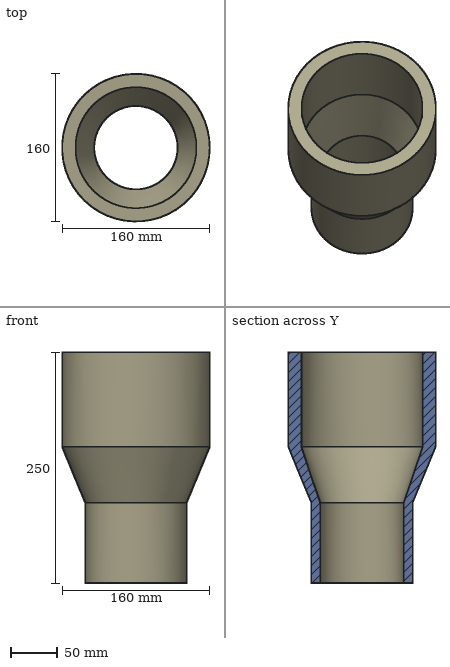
import cadquery as cq

total_height = 250
wide_outer_radius = 160 / 2
wide_inner_radius = 131.0 / 2
narrow_outer_radius = 110 / 2
narrow_inner_radius = 90 / 2
narrow_length = 87.0
wide_length = 102.5
cone_top = total_height - wide_length

wall_section = (
    cq.Workplane("XZ")
    .moveTo(narrow_inner_radius, 0)
    .lineTo(narrow_outer_radius, 0)
    .lineTo(narrow_outer_radius, narrow_length)
    .lineTo(wide_outer_radius, cone_top)
    .lineTo(wide_outer_radius, total_height)
    .lineTo(wide_inner_radius, total_height)
    .lineTo(wide_inner_radius, cone_top)
    .lineTo(narrow_inner_radius, narrow_length)
    .close()
)

result = wall_section.revolve(360, (0, 0, 0), (0, 1, 0))